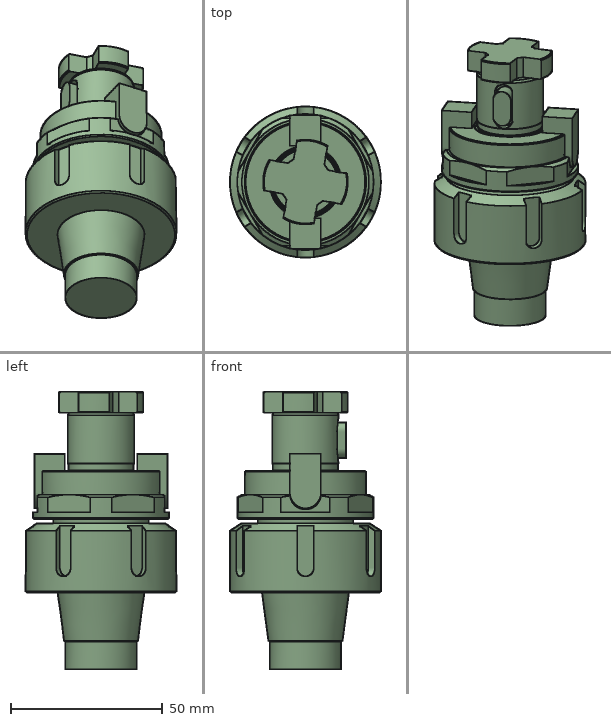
import cadquery as cq
import math

shank_radius = 23.7 / 2
taper_small_radius = 12.3
taper_large_radius = 14.4
shank_chamfer_base = 9.2
taper_base = 9.4

nut_radius = 50.0 / 2
nut_base = 25.3
nut_shoulder = 45.8
nut_top = 48.2
nut_top_radius = 21.2
nut_chamfer = 0.55
nut_slot_count = 6
nut_slot_width = 5.5
nut_slot_floor = 22.4
nut_slot_end_center = 33.5

neck_radius = 31.6 / 2
flange_base = 49.6
flange_top = 57.7
flange_radius = 45.0 / 2
flange_chamfer = 0.5
flat_count = 6
flat_distance = 21.0
flat_base = 51.9
hex_chamfer_angle = 30.0
hex_chamfer_height = (flange_radius - flat_distance) * math.tan(math.radians(hex_chamfer_angle))

collar_radius = 20.1
collar_top = 65.6
collar_chamfer = 0.4
groove_radius = 11.9
groove_depth = 0.5
foot_radius = 10.6
foot_top = 65.75
pilot_radius = 22.0 / 2
relief_radius = 21.6 / 2
relief_top = 67.9
relief_chamfer = pilot_radius - relief_radius
pilot_chamfer_base = 83.9
pilot_top = 84.7
pilot_end_radius = 10.6

dog_width = 10.3
dog_inner = 11.9
dog_outer = 22.0
dog_top = 71.2
dog_end_center = 58.3
dog_slot_clearance = 0.4

key_width = 6.0
key_base = 69.8
key_top = 81.6
key_outer = 13.5
key_floor = key_outer - key_width
keyway_end_gap = 1.65

total_height = 91.7
head_radius = 14.0
head_chamfer = 0.4
arm_width = 10.3
arm_corner_chamfer = 1.65
head_turn = -10.0


def turned_body():
    """Revolve everything from the bottom of the shank to the top of the pilot."""
    profile = [
        (0, 0),
        (shank_radius, 0),
        (shank_radius, shank_chamfer_base),
        (taper_small_radius, taper_base),
        (taper_large_radius, nut_base),
        (nut_radius - nut_chamfer, nut_base),
        (nut_radius, nut_base + nut_chamfer),
        (nut_radius, nut_shoulder),
        (nut_top_radius, nut_top),
        (neck_radius, nut_top),
        (neck_radius, flange_base),
        (flange_radius - flange_chamfer, flange_base),
        (flange_radius, flange_base + flange_chamfer),
        (flange_radius, flange_top - hex_chamfer_height),
        (flat_distance, flange_top),
        (collar_radius, flange_top),
        (collar_radius, collar_top - collar_chamfer),
        (collar_radius - collar_chamfer, collar_top),
        (groove_radius, collar_top),
        (groove_radius - groove_depth, collar_top - groove_depth),
        (foot_radius, collar_top - groove_depth),
        (foot_radius, foot_top),
        (relief_radius, foot_top),
        (relief_radius, relief_top),
        (pilot_radius, relief_top + relief_chamfer),
        (pilot_radius, pilot_chamfer_base),
        (pilot_end_radius, pilot_top),
        (0, pilot_top),
    ]
    return cq.Workplane("XZ").polyline(profile).close().revolve(360, (0, 0, 0), (0, 1, 0))


def round_bottom_bar(width, end_center, top, inner, outer):
    """Upright bar with a rounded lower end, reaching along -Y from inner to outer."""
    half = width / 2
    return (
        cq.Workplane("XZ", origin=(0, -inner, 0))
        .moveTo(-half, top)
        .lineTo(-half, end_center)
        .threePointArc((0, end_center - half), (half, end_center))
        .lineTo(half, top)
        .close()
        .extrude(outer - inner)
    )


def around_axis(shape, angle):
    return shape.rotate((0, 0, 0), (0, 0, 1), angle)


def nut_slot():
    return round_bottom_bar(nut_slot_width, nut_slot_end_center, nut_top, nut_slot_floor, nut_radius)


def flange_flat_cutter():
    """Block that leaves one hexagon flat on the -Y side of the flange."""
    return cq.Workplane("XY").box(
        2 * flange_radius,
        flange_radius,
        flange_top - flat_base,
        centered=(True, False, False),
    ).translate((0, -flat_distance - flange_radius, flat_base))


def dog():
    return round_bottom_bar(dog_width, dog_end_center, dog_top, dog_inner, dog_outer)


def dog_slot():
    return round_bottom_bar(
        dog_width, dog_end_center - dog_slot_clearance, collar_top, dog_inner, flange_radius
    )


def key_block(base, top):
    """Round-ended key shape standing from the keyway floor to the key's outer face."""
    return (
        cq.Workplane("YZ", origin=(key_floor, 0, 0))
        .center(0, (base + top) / 2)
        .slot2D(top - base, key_width, 90)
        .extrude(key_outer - key_floor)
    )


def cross_head():
    """Four-armed head with bevelled inner corners and chamfered arm ends."""
    height = total_height - pilot_top
    arm_length = 4 * head_radius
    arms_x = cq.Workplane("XY").rect(arm_length, arm_width).extrude(height)
    arms_y = cq.Workplane("XY").rect(arm_width, arm_length).extrude(height)
    cross = arms_x.union(arms_y)
    inner_corners = cq.selectors.BoxSelector(
        (-arm_width, -arm_width, 0),
        (arm_width, arm_width, height),
    )
    cross = cross.edges("|Z").edges(inner_corners).chamfer(arm_corner_chamfer)
    disc = cq.Workplane("XY").circle(head_radius).extrude(height).edges("%CIRCLE").chamfer(head_chamfer)
    return around_axis(disc.intersect(cross), head_turn).translate((0, 0, pilot_top))


result = turned_body()

for index in range(nut_slot_count):
    result = result.cut(around_axis(nut_slot(), index * 360 / nut_slot_count))

for index in range(flat_count):
    result = result.cut(around_axis(flange_flat_cutter(), index * 360 / flat_count))

for angle in (0, 180):
    result = result.cut(around_axis(dog_slot(), angle))
    result = result.union(around_axis(dog(), angle))

result = result.cut(key_block(key_base - keyway_end_gap, key_top + keyway_end_gap))
result = result.union(key_block(key_base, key_top))
result = result.union(cross_head())